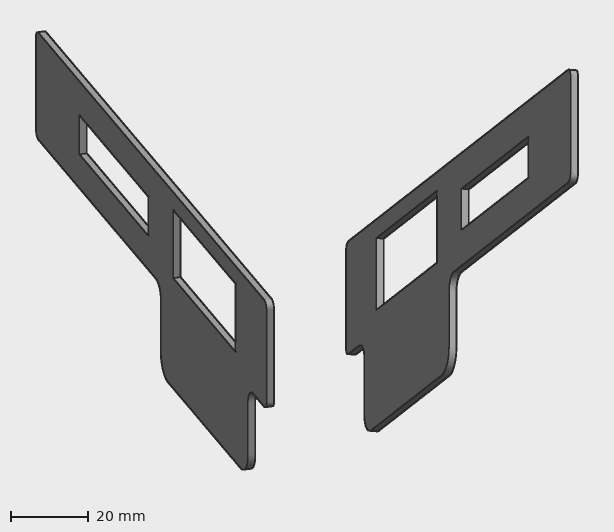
import cadquery as cq

length = 185.0
thickness = 2.0
total_height = 55.0

strip_height = 30.0
strip_corner_radius = 2.0
tab_left = 100.0
tab_width = 70.0
tab_corner_radius = 6.0
neck_radius = 4.0

slot_left = 35.0
slot_width = 55.0
slot_height = 11.0

window_left = 110.0
window_width = 50.0
window_height = 19.0
window_top_margin = 5.0

strip_bottom = total_height - strip_height
slot_bottom = strip_bottom + (strip_height - slot_height) / 2
window_bottom = total_height - window_top_margin - window_height


def block(left, bottom, width, height):
    """Box through the full plate thickness, placed by its lower left corner."""
    return cq.Workplane("XY").box(width, thickness, height, centered=False).translate((left, 0, bottom))


def round_corners(body, corners, radius):
    """Fillet the through-thickness edges at the given (x, z) corners."""
    for x, z in corners:
        nearest = cq.selectors.NearestToPointSelector((x, thickness / 2, z))
        body = body.edges("|Y").edges(nearest).fillet(radius)
    return body


tab_right = tab_left + tab_width
strip = block(0, strip_bottom, length, strip_height)
tab = block(tab_left, 0, tab_width, total_height)
plate = strip.union(tab).clean()

strip_corners = [(x, z) for x in (0, length) for z in (strip_bottom, total_height)]
neck_corners = [(x, strip_bottom) for x in (tab_left, tab_right)]
tab_corners = [(x, 0) for x in (tab_left, tab_right)]
plate = round_corners(plate, strip_corners, strip_corner_radius)
plate = round_corners(plate, neck_corners, neck_radius)
plate = round_corners(plate, tab_corners, tab_corner_radius)

slot = block(slot_left, slot_bottom, slot_width, slot_height)
window = block(window_left, window_bottom, window_width, window_height)
result = plate.cut(slot).cut(window)